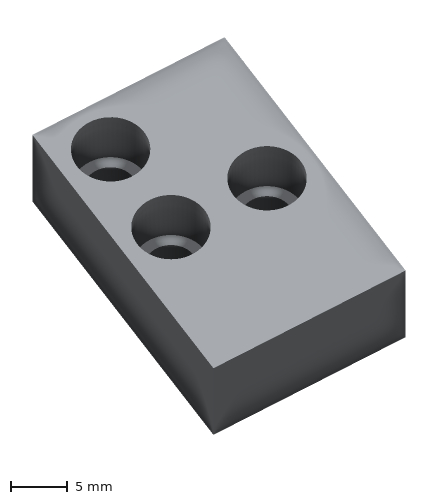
import cadquery as cq

pitch = 10.0
length = 3 * pitch
width = 2 * pitch
height = pitch

hole_diameter = 4.8
counterbore_diameter = 7.0
counterbore_depth = 6.0

hole_cells = [(0, 0), (1, 0), (1, 1)]


def cell_centre(column, row):
    """Centre of a grid cell, measured from the block's lower-left corner."""
    return ((column + 0.5) * pitch, (row + 0.5) * pitch)


def make_block():
    """Plain block with one corner at the origin."""
    return cq.Workplane("XY").box(length, width, height, centered=False)


def add_counterbored_holes(body):
    """Drill the holes down from the top face."""
    centres = [cell_centre(column, row) for column, row in hole_cells]
    return (
        body.faces(">Z")
        .workplane(origin=(0, 0, height))
        .pushPoints(centres)
        .cboreHole(hole_diameter, counterbore_diameter, counterbore_depth)
    )


result = add_counterbored_holes(make_block())